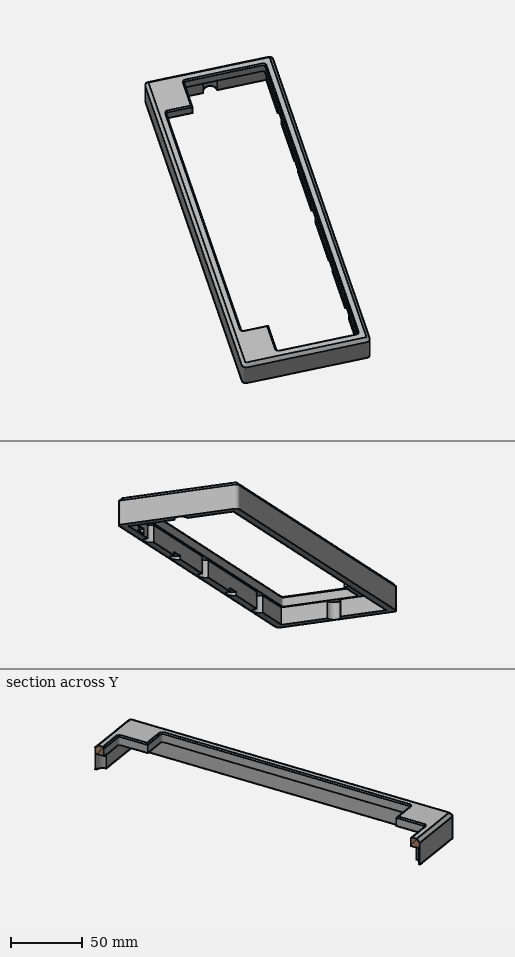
import cadquery as cq
key_pitch = 19.05
border = 8.0
length = 13 * key_pitch + 2 * border
width = 4 * key_pitch + 2 * border
height = 20.0
corner_radius = 3.0
top_chamfer = 2.5

opening_clearance = 0.5
opening_half_length = length / 2 - border + opening_clearance
opening_half_width = width / 2 - border + opening_clearance
opening_radius = 1.5
opening_chamfer = 1.0
block_length = 23.4
block_width = key_pitch
block_edge_x = opening_half_length - block_length
block_edge_y = -opening_half_width + block_width

lip_thickness = 7.5
wall_thickness = 6.0
pocket_length = length - 2 * wall_thickness
pocket_width = width - 2 * wall_thickness
pocket_depth = height - lip_thickness
rear_wall_y = pocket_width / 2
end_wall_x = pocket_length / 2

notch_radius = 5.0
tall_notch_offset = 90.0
short_notch_offset = 46.0
short_notch_height = 2.5

port_center_x = -105.5
port_width = 9.0
port_bottom = 1.5
port_height = 3.5


def outer_body():
    body = cq.Workplane("XY").box(length, width, height, centered=(True, True, False))
    body = body.edges("|Z").fillet(corner_radius)
    return body.faces(">Z").chamfer(top_chamfer)


def is_block_tip(edge):
    """True for the two upright edges where a corner block points into the opening."""
    center = edge.Center()
    return abs(center.x) < opening_half_length - block_length / 2 and center.y > block_edge_y - block_width / 2


def key_opening():
    """Opening with rounded recessed corners; the tips of the corner blocks stay sharp."""
    outline = [
        (-opening_half_length, opening_half_width),
        (opening_half_length, opening_half_width),
        (opening_half_length, block_edge_y),
        (block_edge_x, block_edge_y),
        (block_edge_x, -opening_half_width),
        (-block_edge_x, -opening_half_width),
        (-block_edge_x, block_edge_y),
        (-opening_half_length, block_edge_y),
    ]
    opening = cq.Workplane("XY").polyline(outline).close().extrude(height)
    recessed_corners = opening.edges("|Z").filter(lambda edge: not is_block_tip(edge))
    return recessed_corners.fillet(opening_radius)


def chamfer_opening(body):
    """Chamfer the top rim of the key opening, the only inner wire of the top face."""
    rim = body.faces(">Z").val().innerWires()[0]
    return body.newObject(rim.Edges()).chamfer(opening_chamfer)


def pocket():
    return cq.Workplane("XY").box(pocket_length, pocket_width, pocket_depth, centered=(True, True, False))


def notches(centers, notch_height):
    return cq.Workplane("XY").pushPoints(centers).circle(notch_radius).extrude(notch_height)


def cable_port():
    port = cq.Workplane("XY").box(port_width, wall_thickness, port_height, centered=(True, False, False))
    return port.translate((port_center_x, rear_wall_y, port_bottom))


tall_notch_centers = [
    (-tall_notch_offset, rear_wall_y),
    (0, rear_wall_y),
    (tall_notch_offset, rear_wall_y),
    (-end_wall_x, 0),
    (end_wall_x, 0),
]
short_notch_centers = [
    (-short_notch_offset, rear_wall_y),
    (short_notch_offset, rear_wall_y),
]

frame = chamfer_opening(outer_body().cut(key_opening()))
frame = frame.cut(pocket())
frame = frame.cut(notches(tall_notch_centers, pocket_depth))
frame = frame.cut(notches(short_notch_centers, short_notch_height))
result = frame.cut(cable_port())